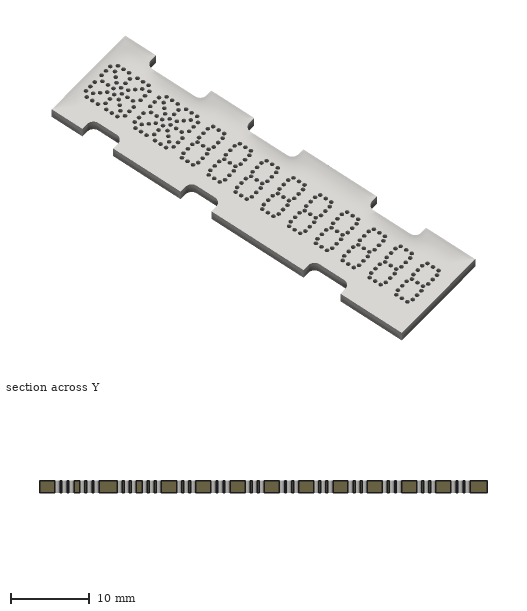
import cadquery as cq
import math

LENGTH = 57.0
WIDTH = 15.0
THICKNESS = 1.6

TOP_NOTCHES = [(5.0, 14.0), (21.0, 29.0), (41.0, 49.0)]
BOTTOM_NOTCHES = [(5.0, 10.0), (21.0, 26.0), (41.0, 47.0)]
NOTCH_DEPTH = 2.0
NOTCH_CORNER_RADIUS = 1.0

HOLE_DIAMETER = 0.6
HOLE_PITCH = 0.9
DIAGONAL_PITCH = HOLE_PITCH * math.sqrt(0.5)
HOLE_STEPS = (-1, 0, 1)

CHARACTER_MIDDLE_Y = WIDTH / 2
CELL_SIZE = 3.175
HALF_CELL = CELL_SIZE / 2
DIGIT_HALF_WIDTH = 1.2

STAR_COUNT = 2
FIRST_STAR_X = 4.76
STAR_PITCH = 7.92
DIGIT_COUNT = 9
FIRST_DIGIT_X = 18.66
DIGIT_PITCH = 4.364


def segment(x, y, step_x, step_y):
    """Three hole centres in a row, the middle one at (x, y)."""
    return [(x + i * step_x, y + i * step_y) for i in HOLE_STEPS]


def digit_holes(x):
    """Seven-segment digit centred at x."""
    points = []
    for row in (-1, 0, 1):
        points += segment(x, CHARACTER_MIDDLE_Y + row * CELL_SIZE, HOLE_PITCH, 0)
    for side in (-1, 1):
        for half in (-1, 1):
            middle_y = CHARACTER_MIDDLE_Y + half * HALF_CELL
            points += segment(x + side * DIGIT_HALF_WIDTH, middle_y, 0, HOLE_PITCH)
    return points


def star_holes(x):
    """Sixteen-segment character centred at x: four cells, their outlines and their inward diagonals."""
    points = []
    for side in (-1, 1):
        for row in (-1, 0, 1):
            middle_y = CHARACTER_MIDDLE_Y + row * CELL_SIZE
            points += segment(x + side * HALF_CELL, middle_y, HOLE_PITCH, 0)
    for half in (-1, 1):
        middle_y = CHARACTER_MIDDLE_Y + half * HALF_CELL
        for column in (-1, 0, 1):
            points += segment(x + column * CELL_SIZE, middle_y, 0, HOLE_PITCH)
        for side in (-1, 1):
            step_y = side * half * DIAGONAL_PITCH
            points += segment(x + side * HALF_CELL, middle_y, DIAGONAL_PITCH, step_y)
    return points


def notch(start, end, edge_y):
    """Cutter centred on a long edge, reaching NOTCH_DEPTH into the plate with rounded corners."""
    return (
        cq.Workplane("XY")
        .center((start + end) / 2, edge_y)
        .rect(end - start, 2 * NOTCH_DEPTH)
        .extrude(THICKNESS)
        .edges("|Z")
        .fillet(NOTCH_CORNER_RADIUS)
    )


def notched_plate():
    plate = cq.Workplane("XY").box(LENGTH, WIDTH, THICKNESS, centered=False)
    for start, end in TOP_NOTCHES:
        plate = plate.cut(notch(start, end, WIDTH))
    for start, end in BOTTOM_NOTCHES:
        plate = plate.cut(notch(start, end, 0))
    return plate


def hole_centres():
    points = []
    for i in range(STAR_COUNT):
        points += star_holes(FIRST_STAR_X + i * STAR_PITCH)
    for i in range(DIGIT_COUNT):
        points += digit_holes(FIRST_DIGIT_X + i * DIGIT_PITCH)
    return points


hole_pins = (
    cq.Workplane("XY")
    .pushPoints(hole_centres())
    .circle(HOLE_DIAMETER / 2)
    .extrude(THICKNESS)
)

result = notched_plate().cut(hole_pins)